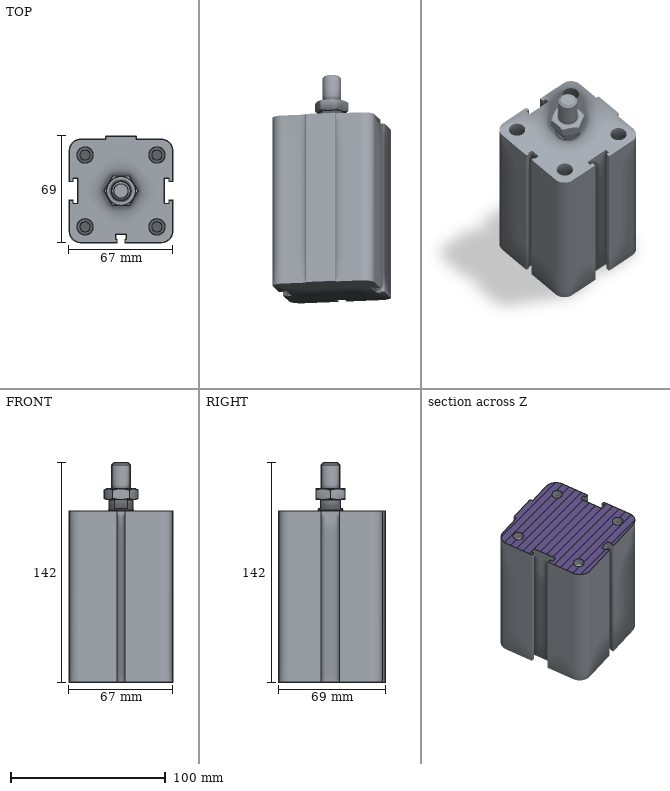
import cadquery as cq
import math


TOTAL_HEIGHT = 142.0

BODY_SIDE = 67.0
BODY_HEIGHT = 110.8
CORNER_RADIUS = 7.7
RAIL_WIDTH = 19.7
RAIL_HEIGHT = 2.0
RAIL_CORNER_RADIUS = 0.5

SIDE_SLOT_MOUTH = 11.9
SIDE_SLOT_WIDTH = 16.2
SIDE_SLOT_LIP = 2.5
SIDE_SLOT_DEPTH = 5.5
FRONT_SLOT_MOUTH = 5.0
FRONT_SLOT_WIDTH = 6.7
FRONT_SLOT_LIP = 2.3
FRONT_SLOT_DEPTH = 5.4

HOLE_SPACING = 46.5
HOLE_DIAMETER = 6.7
HOLE_DEPTH = 21.3
COUNTERBORE_DIAMETER = 10.5
COUNTERBORE_DEPTH = 11.4

COLLAR_DIAMETER = 16.0
COLLAR_HEIGHT = 0.7
NECK_DIAMETER = 15.6
NECK_HEIGHT = 7.2
NECK_CHAMFER = 0.3
WRENCH_FLATS = 13.0
FLATS_START = 1.7
THREAD_DIAMETER = 12.0
THREAD_CHAMFER = 1.4

NUT_SIDES = 6
NUT_ACROSS_FLATS = 19.0
NUT_HEIGHT = 7.1
NUT_FACE_DIAMETER = 18.6
NUT_CHAMFER_ANGLE = 28.0
NUT_BORE_CHAMFER = 0.3

NECK_TOP = BODY_HEIGHT + NECK_HEIGHT


def box(x_size, y_size, bottom, height):
    """Upright block centred on the rod axis."""
    return cq.Workplane("XY").workplane(offset=bottom).rect(x_size, y_size).extrude(height)


def cylinder(diameter, bottom, height):
    """Upright cylinder on the rod axis."""
    return cq.Workplane("XY").workplane(offset=bottom).circle(diameter / 2).extrude(height)


def t_slot(mouth, width, lip, depth):
    """Full-height cutter for a T-slot that opens on the -Y side of the housing."""
    face = -BODY_SIDE / 2
    profile = [
        (-mouth / 2, face),
        (mouth / 2, face),
        (mouth / 2, face + lip),
        (width / 2, face + lip),
        (width / 2, face + depth),
        (-width / 2, face + depth),
        (-width / 2, face + lip),
        (-mouth / 2, face + lip),
    ]
    return cq.Workplane("XY").polyline(profile).close().extrude(BODY_HEIGHT)


def make_housing():
    body = box(BODY_SIDE, BODY_SIDE, 0, BODY_HEIGHT).edges("|Z").fillet(CORNER_RADIUS)

    rail_reach = BODY_SIDE / 2 + RAIL_HEIGHT
    rail = box(RAIL_WIDTH, rail_reach, 0, BODY_HEIGHT).translate((0, rail_reach / 2, 0))
    rail = rail.edges("|Z and >Y").fillet(RAIL_CORNER_RADIUS)
    body = body.union(rail)

    side_slot = t_slot(SIDE_SLOT_MOUTH, SIDE_SLOT_WIDTH, SIDE_SLOT_LIP, SIDE_SLOT_DEPTH)
    for angle in (-90, 90):
        body = body.cut(side_slot.rotate((0, 0, 0), (0, 0, 1), angle))
    body = body.cut(t_slot(FRONT_SLOT_MOUTH, FRONT_SLOT_WIDTH, FRONT_SLOT_LIP, FRONT_SLOT_DEPTH))

    return (
        body.faces(">Z")
        .workplane(origin=(0, 0, BODY_HEIGHT))
        .rect(HOLE_SPACING, HOLE_SPACING, forConstruction=True)
        .vertices()
        .cboreHole(HOLE_DIAMETER, COUNTERBORE_DIAMETER, COUNTERBORE_DEPTH, HOLE_DEPTH)
    )


def make_rod():
    collar_bevel = (COLLAR_DIAMETER - NECK_DIAMETER) / 2
    collar = cylinder(COLLAR_DIAMETER, BODY_HEIGHT, COLLAR_HEIGHT).faces(">Z").chamfer(collar_bevel)
    neck = cylinder(NECK_DIAMETER, BODY_HEIGHT, NECK_HEIGHT).faces(">Z").chamfer(NECK_CHAMFER)
    thread = cylinder(THREAD_DIAMETER, NECK_TOP, TOTAL_HEIGHT - NECK_TOP)
    thread = thread.faces(">Z").chamfer(THREAD_CHAMFER)

    flats_bottom = BODY_HEIGHT + FLATS_START
    flats_height = NECK_TOP - flats_bottom
    outside = box(2 * NECK_DIAMETER, 2 * NECK_DIAMETER, flats_bottom, flats_height)
    between_flats = box(2 * NECK_DIAMETER, WRENCH_FLATS, flats_bottom, flats_height)
    neck = neck.cut(outside.cut(between_flats))

    return collar.union(neck).union(thread)


def make_nut():
    across_corners = NUT_ACROSS_FLATS / math.cos(math.pi / NUT_SIDES)
    base = cq.Workplane("XY").workplane(offset=NECK_TOP)
    hexagon = base.polygon(NUT_SIDES, across_corners).extrude(NUT_HEIGHT)

    bevel_width = (across_corners - NUT_FACE_DIAMETER) / 2
    bevel_height = bevel_width * math.tan(math.radians(NUT_CHAMFER_ANGLE))
    disc = cylinder(across_corners, NECK_TOP, NUT_HEIGHT)
    disc = disc.faces(">Z").chamfer(bevel_height, bevel_width)
    disc = disc.faces("<Z").chamfer(bevel_height, bevel_width)

    nut = hexagon.intersect(disc).cut(cylinder(THREAD_DIAMETER, NECK_TOP, NUT_HEIGHT))
    return nut.faces("<Z or >Z").edges(cq.selectors.RadiusNthSelector(0)).chamfer(NUT_BORE_CHAMFER)


housing = make_housing()
rod = make_rod()
nut = make_nut()

result = cq.Compound.makeCompound([housing.val(), rod.val(), nut.val()])